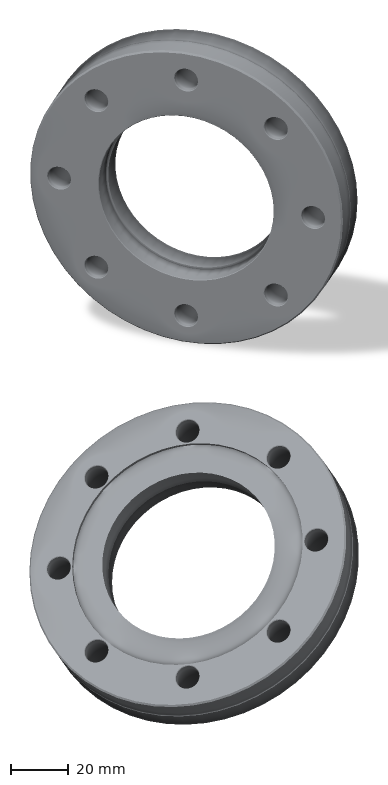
import cadquery as cq

OUTER_DIAMETER = 113.5
THICKNESS = 17.3
RIM_CHAMFER = 0.6

FRONT_BORE_DIAMETER = 63.5
REAR_BORE_DIAMETER = 61.7
FRONT_BORE_DEPTH = 8.0
BORE_CHAMFER = 0.2

RECESS_DIAMETER = 82.5
RECESS_DEPTH = 1.4

GROOVE_WIDTH = 1.1
GROOVE_DEPTH = 0.3

HOLE_COUNT = 8
HOLE_DIAMETER = 8.4
BOLT_CIRCLE_DIAMETER = 92.2
HOLE_CHAMFER = 0.2

FRONT_Y = -THICKNESS / 2


def disc(diameter, front_offset, length):
    """Cylinder about the Y axis, starting front_offset behind the front face."""
    plane = cq.Workplane("XZ", origin=(0, FRONT_Y + front_offset, 0))
    return plane.circle(diameter / 2).extrude(-length)


def make_ring():
    ring = disc(OUTER_DIAMETER, 0, THICKNESS).edges().chamfer(RIM_CHAMFER)
    ring = ring.cut(disc(REAR_BORE_DIAMETER, 0, THICKNESS))
    ring = ring.cut(disc(RECESS_DIAMETER, THICKNESS - RECESS_DEPTH, RECESS_DEPTH))
    ring = ring.cut(disc(FRONT_BORE_DIAMETER, 0, FRONT_BORE_DEPTH))
    bore_mouth = cq.selectors.RadiusNthSelector(0)
    return ring.faces("<Y").edges(bore_mouth).chamfer(BORE_CHAMFER)


def make_groove():
    """Arc-shaped section on the rim at mid-thickness, revolved about the Y axis."""
    rim = OUTER_DIAMETER / 2
    half_width = GROOVE_WIDTH / 2
    section = (
        cq.Workplane("XY")
        .moveTo(rim, -half_width)
        .threePointArc((rim - GROOVE_DEPTH, 0), (rim, half_width))
        .close()
    )
    return section.revolve(360, (0, 0, 0), (0, 1, 0))


def cut_bolt_holes(ring):
    plane = cq.Workplane("XZ", origin=(0, FRONT_Y, 0))
    centres = plane.polarArray(BOLT_CIRCLE_DIAMETER / 2, 0, 360, HOLE_COUNT)
    drilled = ring.cut(centres.circle(HOLE_DIAMETER / 2).extrude(-THICKNESS))
    hole_mouths = cq.selectors.RadiusNthSelector(0)
    return drilled.faces("<Y or >Y").edges(hole_mouths).chamfer(HOLE_CHAMFER)


result = cut_bolt_holes(make_ring().cut(make_groove()))